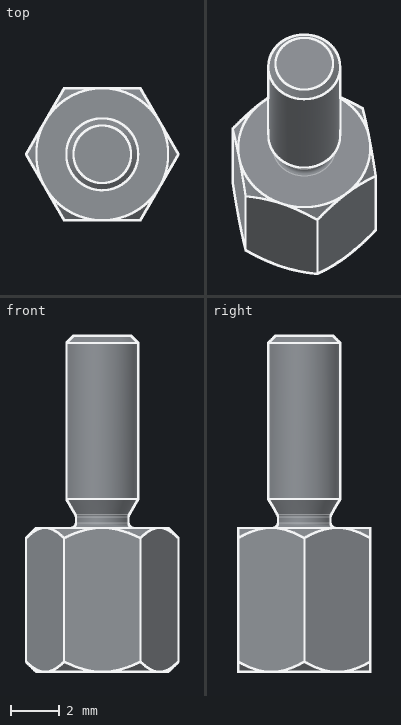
import cadquery as cq
import math

across_flats = 5.5
across_corners = across_flats / math.cos(math.radians(30))
hex_height = 6.0
hex_chamfer_angle = 45.0

stud_diameter = 3.0
stud_length = 8.0
stud_tip_chamfer = 0.3

neck_diameter = 2.2
neck_length = 0.5
neck_fillet = 0.2
taper_half_angle = 30.0


def hex_body():
    """Hexagonal prism with its corners turned down conically at both ends."""
    prism = cq.Workplane("XY").polygon(6, across_corners).extrude(hex_height)

    face_radius = across_flats / 2
    corner_radius = across_corners / 2
    chamfer_drop = (corner_radius - face_radius) * math.tan(math.radians(hex_chamfer_angle))
    turned_envelope = (
        cq.Workplane("XZ")
        .moveTo(0, 0)
        .lineTo(face_radius, 0)
        .lineTo(corner_radius, chamfer_drop)
        .lineTo(corner_radius, hex_height - chamfer_drop)
        .lineTo(face_radius, hex_height)
        .lineTo(0, hex_height)
        .close()
        .revolve(360, (0, 0, 0), (0, 1, 0))
    )
    return prism.intersect(turned_envelope)


def stud():
    """Revolved stud: filleted neck, taper up to the full diameter, chamfered tip."""
    neck_radius = neck_diameter / 2
    stud_radius = stud_diameter / 2
    base_z = hex_height
    tip_z = hex_height + stud_length
    angle = math.radians(taper_half_angle)

    foot_center_r = neck_radius + neck_fillet
    foot_center_z = base_z + neck_fillet
    foot_mid_offset = neck_fillet * math.cos(math.radians(45))

    taper_start_z = base_z + neck_length
    taper_fillet_z = taper_start_z - neck_fillet * math.tan(angle / 2)

    def taper_fillet_point(turn):
        r = neck_radius + neck_fillet * (1 - math.cos(turn))
        z = taper_fillet_z + neck_fillet * math.sin(turn)
        return (r, z)

    taper_end_z = taper_start_z + (stud_radius - neck_radius) / math.tan(angle)

    return (
        cq.Workplane("XZ")
        .moveTo(0, base_z)
        .lineTo(foot_center_r, base_z)
        .threePointArc(
            (foot_center_r - foot_mid_offset, foot_center_z - foot_mid_offset),
            (neck_radius, foot_center_z),
        )
        .lineTo(neck_radius, taper_fillet_z)
        .threePointArc(taper_fillet_point(angle / 2), taper_fillet_point(angle))
        .lineTo(stud_radius, taper_end_z)
        .lineTo(stud_radius, tip_z - stud_tip_chamfer)
        .lineTo(stud_radius - stud_tip_chamfer, tip_z)
        .lineTo(0, tip_z)
        .close()
        .revolve(360, (0, 0, 0), (0, 1, 0))
    )


result = hex_body().union(stud())